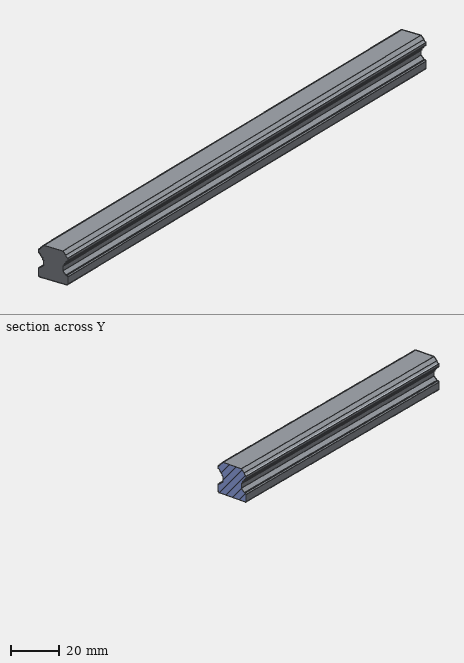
import cadquery as cq
import math

length = 260.0
width = 15.0
height = 15.0

top_chamfer = 2.5
flank_height = 1.3
head_inset = 2.0

track_width = 1.5
track_depth = 0.3

waist_wall_height = 0.5
relief_depth = 0.5
relief_bottom = 6.0

ledge_height = 4.5
foot_chamfer = 0.5

half_width = width / 2
flank_top = height - top_chamfer
flank_bottom = flank_top - flank_height
waist_x = half_width - head_inset
waist_top = flank_bottom - head_inset
waist_bottom = waist_top - waist_wall_height
relief_x = waist_x - relief_depth
relief_top = waist_bottom - relief_depth
ledge_inner_x = relief_x + relief_bottom - ledge_height

track_leg = track_width * math.sqrt(0.5)
track_dip = track_depth * math.sqrt(0.5)
track_inner_x = half_width - track_leg
track_middle_x = half_width - track_leg / 2 - track_dip
track_middle_rise = track_leg / 2 - track_dip


def rail_half():
    """Right half of the rail, standing on Z = 0 and ending at the X = 0 plane."""
    return (
        cq.Workplane("XZ")
        .moveTo(0, height)
        .lineTo(half_width - top_chamfer, height)
        .lineTo(track_inner_x, flank_top + track_leg)
        .threePointArc((track_middle_x, flank_top + track_middle_rise), (half_width, flank_top))
        .lineTo(half_width, flank_bottom)
        .threePointArc(
            (track_middle_x, flank_bottom - track_middle_rise),
            (track_inner_x, flank_bottom - track_leg),
        )
        .lineTo(waist_x, waist_top)
        .lineTo(waist_x, waist_bottom)
        .lineTo(relief_x, relief_top)
        .lineTo(relief_x, relief_bottom)
        .lineTo(ledge_inner_x, ledge_height)
        .lineTo(half_width - foot_chamfer, ledge_height)
        .lineTo(half_width, ledge_height - foot_chamfer)
        .lineTo(half_width, foot_chamfer)
        .lineTo(half_width - foot_chamfer, 0)
        .lineTo(0, 0)
        .close()
        .extrude(length / 2, both=True)
    )


half = rail_half()
result = half.union(half.mirror("YZ")).clean().translate((0, 0, -height / 2))